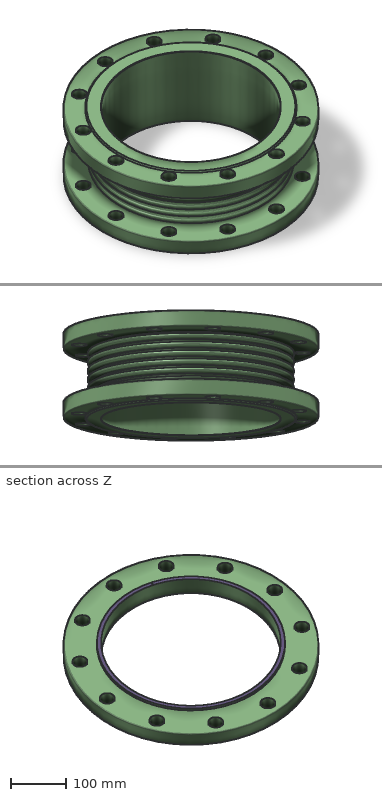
import cadquery as cq

flange_diameter = 460
total_height = 160.0
bore_diameter = 323.0
bore_chamfer = 1.0

flange_thickness = 28.5
rim_fillet = 1.5
face_height = 2.8
face_base_diameter = 382
face_top_diameter = 376.5

bolt_count = 12
bolt_hole_diameter = 27.0
bolt_circle_diameter = 410.0
first_bolt_angle = 180 / bolt_count

end_neck_diameter = 340.0
bellows_root_diameter = 342.5
rib_diameter = 372.5
rib_count = 6
rib_span = 78.5
rib_thickness = 9
rib_edge_radius = 4.0

flange_outer_z = total_height / 2 - face_height
flange_inner_z = flange_outer_z - flange_thickness
rib_pitch = rib_span / (rib_count - 1)
outer_rib_z = rib_span / 2


def disc(diameter, bottom_z, height):
    return cq.Workplane("XY").workplane(offset=bottom_z).circle(diameter / 2).extrude(height)


def upper_flange():
    """Flange plate with rounded rims, a tapered sealing face and a ring of bolt holes."""
    plate = disc(flange_diameter, flange_inner_z, flange_thickness).edges().fillet(rim_fillet)
    sealing_face = (
        cq.Workplane("XZ")
        .moveTo(0, flange_outer_z)
        .lineTo(face_base_diameter / 2, flange_outer_z)
        .lineTo(face_top_diameter / 2, total_height / 2)
        .lineTo(0, total_height / 2)
        .close()
        .revolve(360, (0, 0, 0), (0, 1, 0))
    )
    bolt_holes = (
        cq.Workplane("XY")
        .workplane(offset=flange_inner_z)
        .polarArray(bolt_circle_diameter / 2, first_bolt_angle, 360, bolt_count)
        .circle(bolt_hole_diameter / 2)
        .extrude(flange_thickness)
    )
    return plate.union(sealing_face).cut(bolt_holes)


def rib(center_z):
    """Bellows convolution: a ring with rounded rim edges."""
    ring = disc(rib_diameter, center_z - rib_thickness / 2, rib_thickness)
    return ring.edges().fillet(rib_edge_radius)


body = disc(end_neck_diameter, -flange_inner_z, 2 * flange_inner_z)
body = body.union(disc(bellows_root_diameter, -outer_rib_z, 2 * outer_rib_z))
for index in range(rib_count):
    body = body.union(rib(index * rib_pitch - outer_rib_z))

flange = upper_flange()
body = body.union(flange).union(flange.mirror("XY"))

bore = disc(bore_diameter, -total_height / 2, total_height)
bored_body = body.cut(bore)
mouth_edges = bored_body.faces("<Z or >Z").edges(cq.selectors.RadiusNthSelector(0))
result = mouth_edges.chamfer(bore_chamfer)